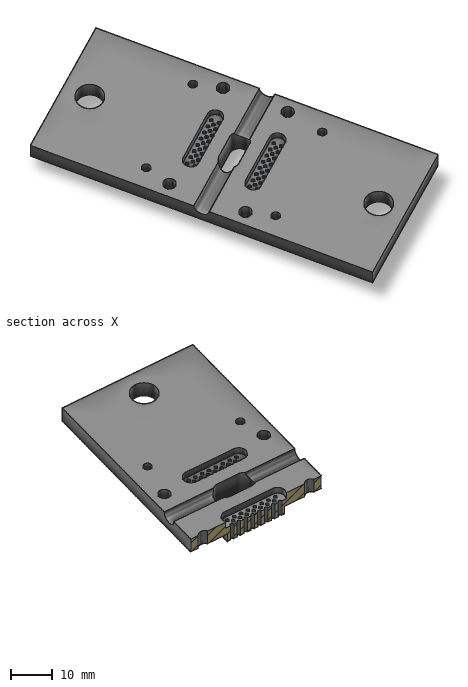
import cadquery as cq

plate_length = 90.0
plate_width = 38.0
plate_thickness = 4.4
block_length = 21.0
block_width = 16.65
block_height = 2.5

groove_diameter = 4.05
center_slot_width = 5.2
center_slot_length = 11.2

pocket_offset = 8.2
pocket_width = 4.05
pocket_length = 18.0
pocket_depth = 2.0
pin_diameter = 0.88
pin_column_spacing = 2.0
outer_pin_rows = 8
pin_column_length = 13.95
pin_row_pitch = pin_column_length / (outer_pin_rows - 1)

mount_hole_diameter = 7.1
mount_hole_x = 38.0
large_hole_diameter = 3.15
large_hole_x = 10.0
large_hole_y = 15.5
offset_hole_x = 7.0
small_hole_diameter = 2.25
small_hole_x = 17.0
small_hole_y = 13.5

total_height = plate_thickness + block_height


def through_cylinders(points, diameter):
    """Cylinders running through the full height at the given XY points."""
    base = cq.Workplane("XY").workplane(offset=-block_height)
    return base.pushPoints(points).circle(diameter / 2).extrude(total_height)


def slot_cutter(x, length, width, depth):
    """Round-ended slot along Y, reaching down from the top face."""
    top = cq.Workplane("XY").workplane(offset=plate_thickness)
    return top.center(x, 0).slot2D(length, width, 90).extrude(-depth)


def pin_points(x):
    """Two outer columns of pins with a staggered column between them."""
    points = []
    for column_x in (x - pin_column_spacing / 2, x + pin_column_spacing / 2):
        points += column_points(column_x, outer_pin_rows)
    return points + column_points(x, outer_pin_rows - 1)


def column_points(x, count):
    """Evenly pitched points along Y, centred on the X axis."""
    return [(x, (row - (count - 1) / 2) * pin_row_pitch) for row in range(count)]


plate = cq.Workplane("XY").box(plate_length, plate_width, plate_thickness, centered=(True, True, False))
block = cq.Workplane("XY").rect(block_length, block_width).extrude(-block_height)
result = plate.union(block)

groove = (
    cq.Workplane("XZ")
    .center(0, plate_thickness)
    .circle(groove_diameter / 2)
    .extrude(plate_width / 2, both=True)
)
result = result.cut(groove)
result = result.cut(slot_cutter(0, center_slot_length, center_slot_width, total_height))

for pocket_x in (-pocket_offset, pocket_offset):
    result = result.cut(slot_cutter(pocket_x, pocket_length, pocket_width, pocket_depth))
    result = result.cut(through_cylinders(pin_points(pocket_x), pin_diameter))

mount_points = [(-mount_hole_x, 0), (mount_hole_x, 0)]
large_points = [
    (-large_hole_x, large_hole_y),
    (-large_hole_x, -large_hole_y),
    (offset_hole_x, large_hole_y),
    (large_hole_x, -large_hole_y),
]
small_points = [(x, y) for x in (-small_hole_x, small_hole_x) for y in (-small_hole_y, small_hole_y)]
result = result.cut(through_cylinders(mount_points, mount_hole_diameter))
result = result.cut(through_cylinders(large_points, large_hole_diameter))
result = result.cut(through_cylinders(small_points, small_hole_diameter))